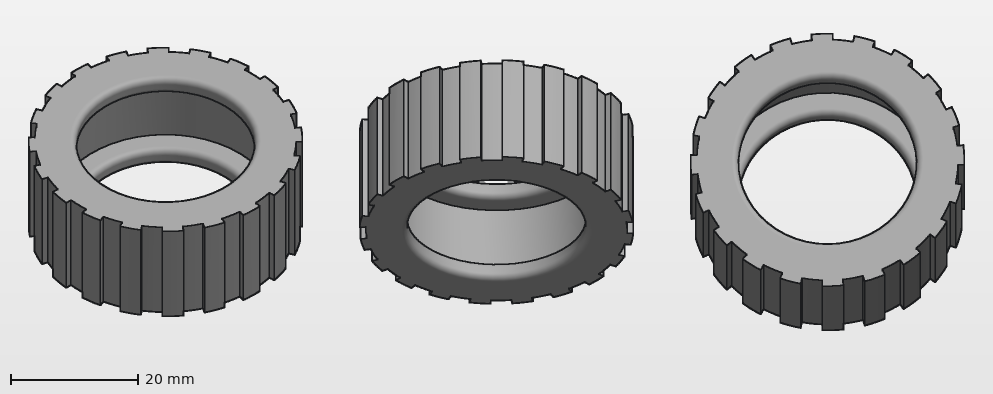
import cadquery as cq
import math

outer_diameter = 43.0
height = 18.0
groove_depth = 1.0
tooth_count = 20

bore_diameter = 28.0
recess_diameter = 35.4
lip_thickness = 3.0
lip_fillet = 1.0

outer_radius = outer_diameter / 2
root_radius = outer_radius - groove_depth
pitch_angle = 360 / tooth_count
tooth_angle = pitch_angle / 2


def polar(radius, degrees):
    """Point at the given radius and angle about the ring axis."""
    angle = math.radians(degrees)
    return radius * math.cos(angle), radius * math.sin(angle)


def toothed_cylinder():
    """Solid cylinder with radial-sided teeth, one centred on +X."""
    half_tooth = tooth_angle / 2
    profile = cq.Workplane("XY").moveTo(*polar(outer_radius, -half_tooth))
    for tooth in range(tooth_count):
        centre = tooth * pitch_angle
        tooth_end = centre + half_tooth
        groove_centre = centre + pitch_angle / 2
        next_tooth = centre + pitch_angle - half_tooth
        profile = (
            profile.threePointArc(polar(outer_radius, centre), polar(outer_radius, tooth_end))
            .lineTo(*polar(root_radius, tooth_end))
            .threePointArc(polar(root_radius, groove_centre), polar(root_radius, next_tooth))
            .lineTo(*polar(outer_radius, next_tooth))
        )
    return profile.close().extrude(height)


def disc(diameter, bottom, thickness):
    """Cylinder on the ring axis, starting at height bottom."""
    return cq.Workplane("XY").workplane(offset=bottom).circle(diameter / 2).extrude(thickness)


def lip_opening(bottom):
    """Cutter for the hole through one lip, flared to round both lip edges."""
    bore_radius = bore_diameter / 2
    mouth_radius = bore_radius + lip_fillet
    top = bottom + lip_thickness
    mid_offset = lip_fillet * (1 - math.sqrt(0.5))
    mid_radius = bore_radius + mid_offset
    return (
        cq.Workplane("XZ")
        .moveTo(0, bottom)
        .lineTo(mouth_radius, bottom)
        .threePointArc((mid_radius, bottom + mid_offset), (bore_radius, bottom + lip_fillet))
        .lineTo(bore_radius, top - lip_fillet)
        .threePointArc((mid_radius, top - mid_offset), (mouth_radius, top))
        .lineTo(0, top)
        .close()
        .revolve(360, (0, 0, 0), (0, 1, 0))
    )


recess = disc(recess_diameter, lip_thickness, height - 2 * lip_thickness)

result = (
    toothed_cylinder()
    .cut(recess)
    .cut(lip_opening(0))
    .cut(lip_opening(height - lip_thickness))
)